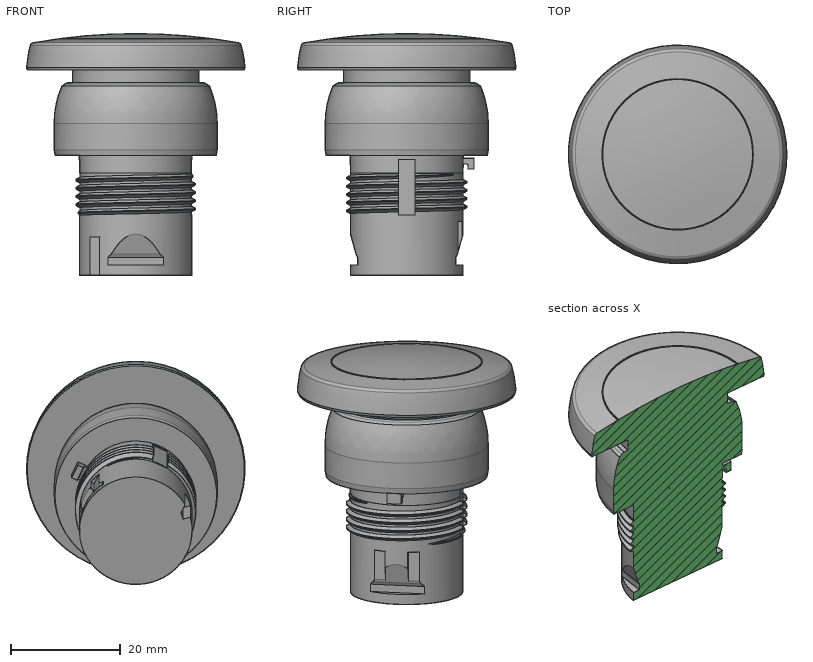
import cadquery as cq
import math


total_height = 44.0
cap_radius = 39.85 / 2
cap_bottom_z = 37.35
cap_bottom_radius = 19.75
cap_side_start_z = 37.8
cap_side_mid = (19.67, 39.9)
cap_side_top = (19.25, 41.85)
cap_shoulder_mid = (19.05, 42.15)
dome_edge_radius = 18.65
dome_edge_z = 42.35
dome_rise = total_height - dome_edge_z
dome_sphere = (dome_edge_radius**2 + dome_rise**2) / (2 * dome_rise)
dome_ring_radius = 13.78
dome_ring_width = 0.15
dome_ring_depth = 0.15

neck_radius = 11.55

collar_radius = 14.88
collar_bottom_z = 21.85
collar_bottom_radius = 14.7
collar_taper_z = 22.85
collar_curve_z = 27.65
collar_shoulder = (13.45, 34.4)
collar_lip = (12.95, 34.8)
collar_top_radius = 12.4
collar_top_z = 35.08

barrel_radius = 10.25
barrel_neck_radius = 10.3
barrel_neck_z = 18.57

thread_crest_radius = 11.0
thread_pitch = 1.5
thread_turns = 5
thread_fade_turns = 0.5
thread_start_z = 10.95
thread_start_angle = math.pi / 2
thread_base_width = 1.3
thread_crest_width = 0.18
thread_root_radius = 10.05
thread_faded_radius = 10.1

keyway_width = 2.95
keyway_floor = 10.12
keyway_bottom_z = thread_start_z
keyway_top_z = 21.05

latch_floor = 8.95
latch_bottom_z = 1.9
latch_floor_top_z = 3.25
latch_break = (9.25, 3.85)
latch_ramp_top_z = 7.5

slot_height = 7.0
slot_floor_radius = 8.9
slot_wall_y = -6.0
slot_radial_angle = math.radians(230)

recess_floor = 9.37
recess_top_z = 9.75
rib_half_width = 2.1

hook_tip = 12.3
hook_leg_inside = 11.15
hook_top_z = 21.35
hook_arm_bottom_z = 20.25
hook_leg_bottom_z = 19.3
hook_width = 2.65
hook_fillet = 0.25

clearance = 1.3


def tangent_arc_mid(start, end):
    """Midpoint of an arc that leaves start vertically and bends towards the axis to end."""
    inset = start[0] - end[0]
    rise = end[1] - start[1]
    radius = (inset**2 + rise**2) / (2 * inset)
    half_sweep = math.asin(rise / radius) / 2
    return (
        start[0] - radius * (1 - math.cos(half_sweep)),
        start[1] + radius * math.sin(half_sweep),
    )


def make_dome_ring():
    ring_z = total_height - dome_sphere + math.sqrt(dome_sphere**2 - dome_ring_radius**2)
    return (
        cq.Workplane("XY", origin=(0, 0, ring_z - dome_ring_depth))
        .circle(dome_ring_radius)
        .circle(dome_ring_radius - dome_ring_width)
        .extrude(clearance)
    )


def make_turned_body():
    half_angle = math.asin(dome_edge_radius / dome_sphere) / 2
    dome_mid = (
        dome_sphere * math.sin(half_angle),
        total_height - dome_sphere * (1 - math.cos(half_angle)),
    )
    collar_edge = (collar_radius, collar_curve_z)
    return (
        cq.Workplane("XZ")
        .moveTo(0, 0)
        .lineTo(barrel_radius, 0)
        .lineTo(barrel_radius, barrel_neck_z)
        .lineTo(barrel_neck_radius, barrel_neck_z)
        .lineTo(barrel_neck_radius, collar_bottom_z)
        .lineTo(collar_bottom_radius, collar_bottom_z)
        .lineTo(collar_radius, collar_taper_z)
        .lineTo(*collar_edge)
        .threePointArc(tangent_arc_mid(collar_edge, collar_shoulder), collar_shoulder)
        .lineTo(*collar_lip)
        .lineTo(collar_top_radius, collar_top_z)
        .lineTo(neck_radius, collar_top_z)
        .lineTo(neck_radius, cap_bottom_z)
        .lineTo(cap_bottom_radius, cap_bottom_z)
        .lineTo(cap_radius, cap_side_start_z)
        .threePointArc(cap_side_mid, cap_side_top)
        .threePointArc(cap_shoulder_mid, (dome_edge_radius, dome_edge_z))
        .threePointArc(dome_mid, (0, total_height))
        .close()
        .revolve(360, (0, 0), (0, 1))
    )


def thread_crest_at(turn):
    """Crest radius after a number of turns, fading into the barrel at both ends."""
    fade = min(1, turn / thread_fade_turns, (thread_turns - turn) / thread_fade_turns)
    return thread_faded_radius + (thread_crest_radius - thread_faded_radius) * fade


def make_thread():
    points_per_turn = 24

    def spiral(radius_at, z_shift):
        points = []
        for step in range(thread_turns * points_per_turn + 1):
            turn = step / points_per_turn
            angle = thread_start_angle + 2 * math.pi * turn
            x = radius_at(turn) * math.cos(angle)
            y = radius_at(turn) * math.sin(angle)
            z = thread_start_z + thread_pitch * turn + z_shift
            points.append(cq.Vector(x, y, z))
        return cq.Edge.makeSpline(points)

    def root_at(turn):
        return thread_root_radius

    corners = [
        spiral(root_at, -thread_base_width / 2),
        spiral(thread_crest_at, -thread_crest_width / 2),
        spiral(thread_crest_at, thread_crest_width / 2),
        spiral(root_at, thread_base_width / 2),
    ]
    faces = [
        cq.Face.makeRuledSurface(corner, following)
        for corner, following in zip(corners, corners[1:] + corners[:1])
    ]
    for end in (0, 1):
        outline = [corner.positionAt(end) for corner in corners]
        faces.append(cq.Face.makeFromWires(cq.Wire.makePolygon(outline, close=True)))
    return cq.Workplane(cq.Solid.makeSolid(cq.Shell.makeShell(faces)).fix())


def make_keyway(side):
    depth = clearance + thread_crest_radius - keyway_floor
    return (
        cq.Workplane("XY", origin=(side * (keyway_floor + depth / 2), 0, keyway_bottom_z))
        .rect(depth, keyway_width)
        .extrude(keyway_top_z - keyway_bottom_z)
    )


def make_latch_groove():
    outside = barrel_radius + clearance
    return (
        cq.Workplane("YZ")
        .moveTo(outside, latch_bottom_z)
        .lineTo(latch_floor, latch_bottom_z)
        .lineTo(latch_floor, latch_floor_top_z)
        .lineTo(*latch_break)
        .lineTo(barrel_radius, latch_ramp_top_z)
        .lineTo(outside, latch_ramp_top_z)
        .close()
        .extrude(barrel_radius, both=True)
    )


def make_foot_slot():
    reach = barrel_radius + clearance
    radial_far = (reach * math.cos(slot_radial_angle), reach * math.sin(slot_radial_angle))
    wedge = (
        cq.Workplane("XY")
        .moveTo(slot_wall_y / math.tan(slot_radial_angle), slot_wall_y)
        .lineTo(*radial_far)
        .lineTo(-reach, radial_far[1])
        .lineTo(-reach, slot_wall_y)
        .close()
        .extrude(slot_height)
    )
    return wedge.cut(cq.Workplane("XY").circle(slot_floor_radius).extrude(slot_height))


def make_recess(side):
    width = barrel_radius - rib_half_width
    depth = barrel_radius - recess_floor + clearance
    centre_x = side * (rib_half_width + width / 2)
    return (
        cq.Workplane("XY", origin=(centre_x, recess_floor + depth / 2, latch_floor_top_z))
        .rect(width, depth)
        .extrude(recess_top_z - latch_floor_top_z)
    )


def make_hook():
    root = barrel_radius - clearance
    return (
        cq.Workplane("YZ")
        .moveTo(root, hook_top_z)
        .lineTo(hook_tip, hook_top_z)
        .lineTo(hook_tip, hook_leg_bottom_z)
        .lineTo(hook_leg_inside, hook_leg_bottom_z)
        .lineTo(hook_leg_inside, hook_arm_bottom_z)
        .lineTo(root, hook_arm_bottom_z)
        .close()
        .extrude(hook_width / 2, both=True)
        .edges(cq.selectors.NearestToPointSelector((0, hook_leg_inside, hook_arm_bottom_z)))
        .fillet(hook_fillet)
    )


result = make_turned_body()
result = result.cut(make_dome_ring())
result = result.union(make_thread())

latch_groove = make_latch_groove()
result = result.cut(latch_groove).cut(latch_groove.mirror("XZ"))
for side in (-1, 1):
    result = result.cut(make_keyway(side))
    result = result.cut(make_recess(side))
result = result.cut(make_foot_slot())
result = result.union(make_hook())